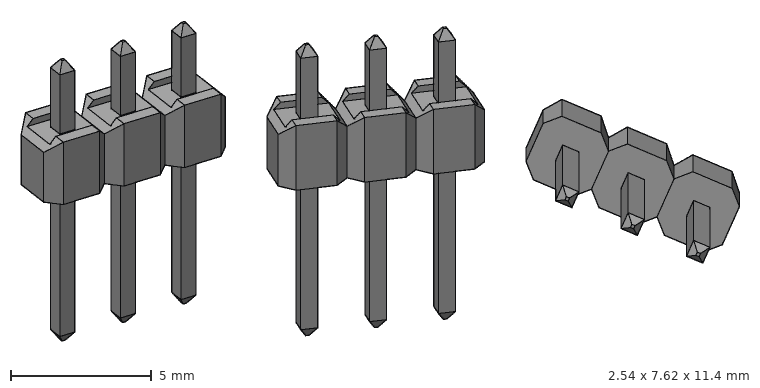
import cadquery as cq

pitch = 2.54
pin_count = 3

block_width = pitch
block_height = pitch
block_chamfer = pitch / 5
groove_width = block_width - 2 * block_chamfer
groove_depth = block_chamfer / 2

pin_width = pitch / 4
pin_top_length = 2.54
pin_bottom_length = 6.35
tip_length = 0.381
tip_width = pin_width / 5

pin_top = block_height + pin_top_length
pin_bottom = -pin_bottom_length
shank_length = pin_top - pin_bottom - 2 * tip_length


def make_block(y):
    """Octagonal block with sloped top ends, a groove along Y and a square hole for the pin."""
    body = cq.Workplane("XY").box(block_width, pitch, block_height, centered=(True, True, False))
    body = body.edges("|Z").chamfer(block_chamfer)

    sloped_profile = (
        cq.Workplane("YZ")
        .moveTo(-pitch / 2, 0)
        .lineTo(pitch / 2, 0)
        .lineTo(pitch / 2, block_height - block_chamfer)
        .lineTo(pitch / 2 - block_chamfer, block_height)
        .lineTo(-pitch / 2 + block_chamfer, block_height)
        .lineTo(-pitch / 2, block_height - block_chamfer)
        .close()
        .extrude(block_width / 2, both=True)
    )
    body = body.intersect(sloped_profile)

    groove = (
        cq.Workplane("XY")
        .workplane(offset=block_height - groove_depth)
        .rect(groove_width, pitch)
        .extrude(groove_depth)
    )
    pin_hole = cq.Workplane("XY").rect(pin_width, pin_width).extrude(block_height)
    return body.cut(groove).cut(pin_hole).translate((0, y, 0))


def make_tip(base_z, end_z):
    """Pyramid that narrows from the pin's full width at base_z to a small flat at end_z."""
    return (
        cq.Workplane("XY")
        .workplane(offset=base_z)
        .rect(pin_width, pin_width)
        .workplane(offset=end_z - base_z)
        .rect(tip_width, tip_width)
        .loft(ruled=True)
    )


def make_pin(y):
    """Square pin through the block, pointed at both ends."""
    shank = (
        cq.Workplane("XY")
        .workplane(offset=pin_bottom + tip_length)
        .rect(pin_width, pin_width)
        .extrude(shank_length)
    )
    top_tip = make_tip(pin_top - tip_length, pin_top)
    bottom_tip = make_tip(pin_bottom + tip_length, pin_bottom)
    return shank.union(top_tip).union(bottom_tip).translate((0, y, 0))


row_positions = [(i - (pin_count - 1) / 2) * pitch for i in range(pin_count)]
blocks = [make_block(y).val() for y in row_positions]
pins = [make_pin(y).val() for y in row_positions]

result = cq.Compound.makeCompound([*blocks, *pins])